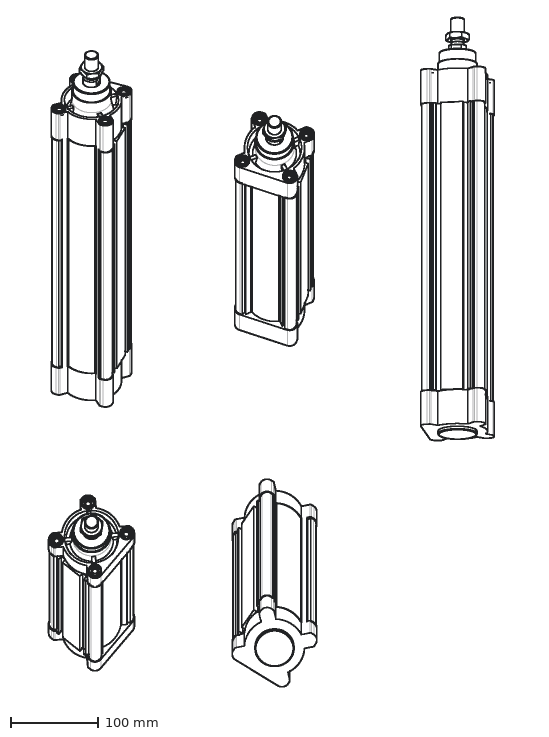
import cadquery as cq
import math

total_length = 493.0
rear_boss_height = 4.0
cap_length = 40.5
rear_cap_top = rear_boss_height + cap_length
front_face = 425.5
front_cap_bottom = front_face - cap_length
collar_step = 440.0
collar_top = 452.5
flats_bottom = 454.0
neck_bottom = 460.5
runout_bottom = 464.5
thread_bottom = 467.5
nut_bottom = thread_bottom
nut_thickness = 7.5

cap_width = 75.0
barrel_width = 73.0
bulge_radius = 34.5
barrel_bulge_radius = 34.0
corner_radius = 8.5
barrel_corner_radius = 7.5
post_width = 12.5
post_edge_radius = 2.5
valley_chamfer = 1.0
screw_spacing = 56.5

side_flat_width = 25.5
side_groove_width = 6.0
side_groove_depth = 5.0
post_groove_offset = 23.5
post_groove_mouth = 4.5
post_groove_floor = 1.5
post_groove_depth = 4.0

collar_diameter = 45.0
collar_tip_diameter = 42.5
recess_diameter = 62.0
recess_floor_inner_diameter = 50.5
recess_floor_outer_diameter = 58.5
recess_depth = 15.0
rib_width = 4.5
rib_drop = 2.5
edge_chamfer = 1.0

screw_pocket_diameter = 15.0
screw_pocket_depth = 4.0
screw_head_diameter = 14.0
screw_head_height = 3.0
screw_head_chamfer = 1.0
screw_hole_diameter = 6.5
screw_hole_mouth_diameter = 8.0
screw_hole_depth = 5.0
screw_hole_tip_height = 2.0

rod_diameter = 20.0
thread_diameter = 16.0
runout_diameter = 14.5
neck_diameter = 13.5
rod_flats_width = 17.0
rod_insertion = 39.5
thread_chamfer = 1.0
nut_flats_width = 24.0
nut_chamfer_width = 2.0
nut_chamfer_height = 1.0


def cylinder(diameter, bottom, top):
    """Round bar on the Z axis between two heights."""
    return cq.Workplane("XY").workplane(offset=bottom).circle(diameter / 2).extrude(top - bottom)


def cone(lower_diameter, upper_diameter, bottom, top):
    """Tapered round bar on the Z axis between two heights."""
    solid = cq.Solid.makeCone(lower_diameter / 2, upper_diameter / 2, top - bottom)
    return cq.Workplane(solid).translate((0, 0, bottom))


def box(x_min, x_max, y_min, y_max, bottom, top):
    """Axis-aligned block between the given limits."""
    corner = cq.Vector(x_min, y_min, bottom)
    return cq.Workplane(cq.Solid.makeBox(x_max - x_min, y_max - y_min, top - bottom, corner))


def turned_copies(shape, angles):
    """Copies of a shape turned about the Z axis."""
    return [shape.rotate((0, 0, 0), (0, 0, 1), angle) for angle in angles]


def square_bar(width, edge_radius, bottom, top):
    """Square bar with rounded corners, centred on the Z axis."""
    bar = cq.Workplane("XY").workplane(offset=bottom).rect(width, width).extrude(top - bottom)
    return bar.edges("|Z").fillet(edge_radius)


def scoop(belly_radius, bottom, top):
    """Space on the -Y side between two posts: 45 degree flanks leading in to the round belly."""
    half = cap_width / 2
    flank_outer = half - post_width
    flank_inner = (math.sqrt(2 * belly_radius**2 - post_width**2) - post_width) / 2
    flank_depth = flank_inner + post_width
    return (
        cq.Workplane("XY")
        .workplane(offset=bottom)
        .moveTo(-flank_outer, -half)
        .lineTo(-flank_inner, -flank_depth)
        .threePointArc((0, -belly_radius), (flank_inner, -flank_depth))
        .lineTo(flank_outer, -half)
        .close()
        .extrude(top - bottom)
    )


def cap(bottom):
    """End cap: flat on the +Y side, scooped on the other three."""
    top = bottom + cap_length
    body = square_bar(cap_width, corner_radius, bottom, top)
    for cutter in turned_copies(scoop(bulge_radius, bottom, top), (0, 90, 270)):
        body = body.cut(cutter)
    half = cap_width / 2
    flank_outer = half - post_width
    for side in (-1, 1):
        post_edges = ((side * flank_outer, -half), (side * half, -flank_outer), (side * half, flank_outer))
        for x, y in post_edges:
            body = body.edges(cq.selectors.NearestToPointSelector((x, y, bottom + cap_length / 2)))
            body = body.fillet(post_edge_radius)
    return body


def post_groove(bottom, top):
    """Tapered groove in the +Y half of the barrel's +X side."""
    half = barrel_width / 2
    mouth = post_groove_mouth / 2
    floor = post_groove_floor / 2
    return (
        cq.Workplane("XY")
        .workplane(offset=bottom)
        .moveTo(half, post_groove_offset - mouth)
        .lineTo(half - post_groove_depth, post_groove_offset - floor)
        .lineTo(half - post_groove_depth, post_groove_offset + floor)
        .lineTo(half, post_groove_offset + mouth)
        .close()
        .extrude(top - bottom)
    )


def barrel():
    """Extruded barrel with bellied -Y and +Y sides and grooved flat -X and +X sides."""
    half = barrel_width / 2
    span = (rear_cap_top, front_cap_bottom)
    bar = square_bar(barrel_width, barrel_corner_radius, *span)
    relief = scoop(barrel_bulge_radius, *span).edges("|Z").edges(">Y").chamfer(valley_chamfer)
    for cutter in turned_copies(relief, (0, 180)):
        bar = bar.cut(cutter)
    groove_inner = side_flat_width / 2
    groove_outer = groove_inner + side_groove_width
    side_groove = box(half - side_groove_depth, half, groove_inner, groove_outer, *span)
    for groove in (side_groove, side_groove.mirror("XZ")):
        for cutter in turned_copies(groove, (0, 180)):
            bar = bar.cut(cutter)
    outer_groove = post_groove(*span)
    for groove in (outer_groove, outer_groove.mirror("XZ")):
        for cutter in turned_copies(groove, (0, 90, 180, 270)):
            bar = bar.cut(cutter)
    return bar


def cut_collar_recess(body):
    """Tapered ring-shaped recess around the collar, bridged by four diagonal ribs."""
    floor = front_face - recess_depth
    core = cone(recess_floor_inner_diameter, collar_diameter, floor, front_face)
    ring = cone(recess_floor_outer_diameter, recess_diameter, floor, front_face).cut(core)
    rib = box(0, recess_diameter / 2, -rib_width / 2, rib_width / 2, floor, front_face - rib_drop)
    for bridge in turned_copies(rib, (45, 135, 225, 315)):
        ring = ring.cut(bridge)
    return body.cut(ring)


def screw_cutter():
    """Space above and around one screw head sunk in a corner post, and its cone-tipped hole."""
    pocket_floor = front_face - screw_pocket_depth
    head_top = pocket_floor + screw_head_height
    hole_floor = head_top - screw_hole_depth
    tip_bottom = hole_floor - screw_hole_tip_height
    mouth_depth = (screw_hole_mouth_diameter - screw_hole_diameter) / 2
    head = cylinder(screw_head_diameter, pocket_floor, head_top).faces(">Z").chamfer(screw_head_chamfer)
    tip = cone(0, screw_hole_diameter, tip_bottom, hole_floor)
    mouth = cone(screw_hole_diameter, screw_hole_mouth_diameter, head_top - mouth_depth, head_top)
    hole = cylinder(screw_hole_diameter, hole_floor, head_top).union(tip).union(mouth)
    return cylinder(screw_pocket_diameter, pocket_floor, front_face).cut(head).union(hole)


def make_housing():
    """Barrel with both end caps, front collar, rear boss and a bore for the rod."""
    body = barrel().union(cap(rear_boss_height)).union(cap(front_cap_bottom))
    boss = cylinder(collar_diameter, 0, rear_boss_height).faces("<Z").chamfer(edge_chamfer)
    body = body.union(boss)
    body = cut_collar_recess(body)
    tip = cylinder(collar_tip_diameter, collar_step, collar_top).faces(">Z").chamfer(edge_chamfer)
    body = body.union(cylinder(collar_diameter, front_face, collar_step)).union(tip)
    for x in (-screw_spacing / 2, screw_spacing / 2):
        for y in (-screw_spacing / 2, screw_spacing / 2):
            body = body.cut(screw_cutter().translate((x, y, 0)))
    return body.cut(cylinder(rod_diameter, collar_top - rod_insertion, collar_top))


def make_rod():
    """Stepped rod with two wrench flats, an undercut neck and a threaded end left smooth."""
    rod = cylinder(rod_diameter, collar_top - rod_insertion, neck_bottom)
    for side in (0, 180):
        flat = box(rod_flats_width / 2, rod_diameter, -rod_diameter, rod_diameter, flats_bottom, neck_bottom)
        rod = rod.cut(flat.rotate((0, 0, 0), (0, 0, 1), side))
    rod = rod.union(cylinder(neck_diameter, neck_bottom, runout_bottom))
    rod = rod.union(cylinder(runout_diameter, runout_bottom, thread_bottom))
    thread = cylinder(thread_diameter, thread_bottom, total_length).faces(">Z").chamfer(thread_chamfer)
    return rod.union(thread)


def make_nut():
    """Hexagon nut with corners on the Y axis, chamfered on both faces."""
    across_corners = nut_flats_width / math.cos(math.radians(30))
    hexagon = (
        cq.Workplane("XY")
        .workplane(offset=nut_bottom)
        .polygon(6, across_corners)
        .extrude(nut_thickness)
        .rotate((0, 0, 0), (0, 0, 1), 90)
    )
    nut_top = nut_bottom + nut_thickness
    rounding = cylinder(across_corners, nut_bottom, nut_top)
    rounding = rounding.faces("<Z or >Z").chamfer(nut_chamfer_height, nut_chamfer_width)
    return hexagon.intersect(rounding).cut(cylinder(thread_diameter, nut_bottom, nut_top))


housing = make_housing().solids()
rod = make_rod().solids()
nut = make_nut().solids()
result = cq.Compound.makeCompound([housing.val(), rod.val(), nut.val()])